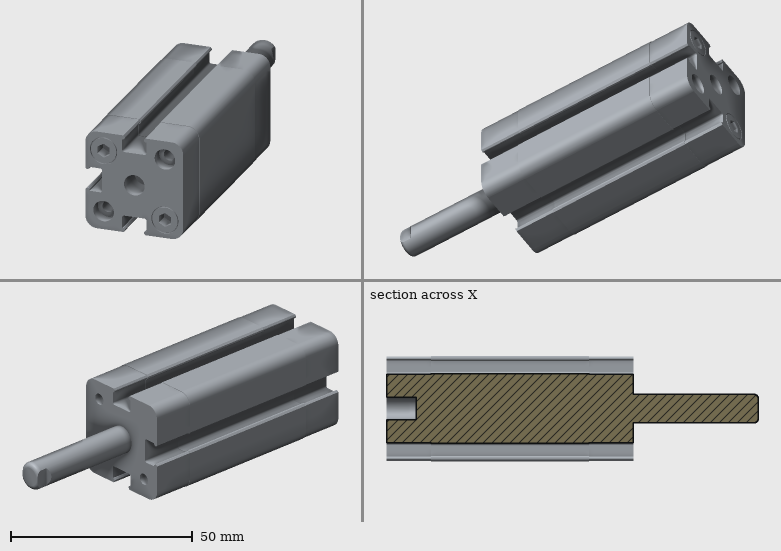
import cadquery as cq

total_length = 102.5
housing_length = 68.1
cap_length = 12.3
barrel_length = housing_length - 2 * cap_length

cap_width = 28.8
cap_corner_radius = 3.4
barrel_step = 0.12
barrel_width = cap_width + 2 * barrel_step

slot_mouth = 6.4
slot_throat = 5.3
slot_inner_width = 6.9
slot_depth = 4.9
slot_floor_radius = 0.6
lip_bevel = 0.5
lip_thickness = 1.4
lip_back_bevel = 0.4
slot_overcut = 1.0
slot_angles = (0, -90, 180)

hole_spacing = 18.0
through_hole_diameter = 3.3
counterbore_diameter = 6.0
counterbore_depth = 3.5
center_hole_diameter = 6.0
center_hole_depth = 8.2
screw_bore_diameter = 8.0
screw_head_diameter = 7.5
screw_gap_depth = 0.5
hex_corner_diameter = 4.1
hex_depth = 4.1
hex_sides = 6

rod_diameter = 8.0
flat_width = 6.0
flat_length = 3.4
tip_radius = 1.3


def sketch_plane(y):
    """XZ plane at the given Y, with its normal along +Y and local y along +Z."""
    return cq.Workplane(cq.Plane(origin=(0, y, 0), xDir=(-1, 0, 0), normal=(0, 1, 0)))


def rounded_square(width, corner_radius, start, length):
    bar = sketch_plane(start).rect(width, width).extrude(length)
    return bar.edges("|Y").fillet(corner_radius)


def slot_cutter(clearance, start, length):
    """T-slot opening upward, widened all round by the clearance."""
    top = barrel_width / 2
    mouth = slot_mouth / 2
    throat = slot_throat / 2 + clearance
    inner = slot_inner_width / 2 + clearance
    lip_bottom = top - lip_thickness + clearance
    floor = top - slot_depth - clearance
    right = [
        (mouth, top + slot_overcut),
        (mouth, top - clearance),
        (throat, top - lip_bevel - clearance),
        (throat, lip_bottom + lip_back_bevel),
        (throat + lip_back_bevel, lip_bottom),
        (inner, lip_bottom),
        (inner, floor),
    ]
    left = [(-x, z) for x, z in reversed(right)]
    slot = sketch_plane(start).polyline(right + left).close().extrude(length)
    return slot.faces("<Z").edges("|Y").fillet(slot_floor_radius)


def housing_section(inset, start, length):
    """Slotted bar whose outline lies inside the barrel outline by the inset."""
    corner_radius = cap_corner_radius + barrel_step - inset
    section = rounded_square(barrel_width - 2 * inset, corner_radius, start, length)
    cutter = slot_cutter(inset, start, length)
    for angle in slot_angles:
        section = section.cut(cutter.rotate((0, 0, 0), (0, 1, 0), angle))
    return section


def cylinder(diameter, start, length, points=((0, 0),)):
    """Cylinders along +Y, one at each (x, z) point."""
    plane = cq.Workplane("XZ", origin=(0, start, 0))
    return plane.pushPoints(points).circle(diameter / 2).extrude(-length)


def piston_rod():
    rod_length = total_length - housing_length
    rod = cylinder(rod_diameter, housing_length, rod_length)
    rod = rod.faces(">Y").edges().fillet(tip_radius)
    flat = flat_width / 2
    clear = rod_diameter
    flat_start = total_length - flat_length
    cutter = (
        cq.Workplane("XY")
        .polyline([
            (flat, total_length),
            (flat, flat_start),
            (clear, flat_start - (clear - flat)),
            (clear, total_length),
        ])
        .close()
        .extrude(rod_diameter, both=True)
    )
    return rod.cut(cutter).cut(cutter.mirror("YZ"))


half_spacing = hole_spacing / 2
hole_points = [(-half_spacing, -half_spacing), (half_spacing, half_spacing)]
screw_points = [(-half_spacing, half_spacing), (half_spacing, -half_spacing)]

result = housing_section(barrel_step, 0, cap_length)
result = result.union(housing_section(0, cap_length, barrel_length))
result = result.union(housing_section(barrel_step, cap_length + barrel_length, cap_length))
result = result.union(piston_rod())

result = result.cut(cylinder(through_hole_diameter, 0, housing_length, hole_points))
result = result.cut(cylinder(counterbore_diameter, 0, counterbore_depth, hole_points))
result = result.cut(cylinder(center_hole_diameter, 0, center_hole_depth))

ring_gap = cylinder(screw_bore_diameter, 0, screw_gap_depth, screw_points).cut(
    cylinder(screw_head_diameter, 0, screw_gap_depth, screw_points)
)
hex_socket = (
    cq.Workplane("XZ")
    .pushPoints(screw_points)
    .sketch()
    .regularPolygon(hex_corner_diameter / 2, hex_sides)
    .finalize()
    .extrude(-hex_depth)
)
result = result.cut(ring_gap).cut(hex_socket)